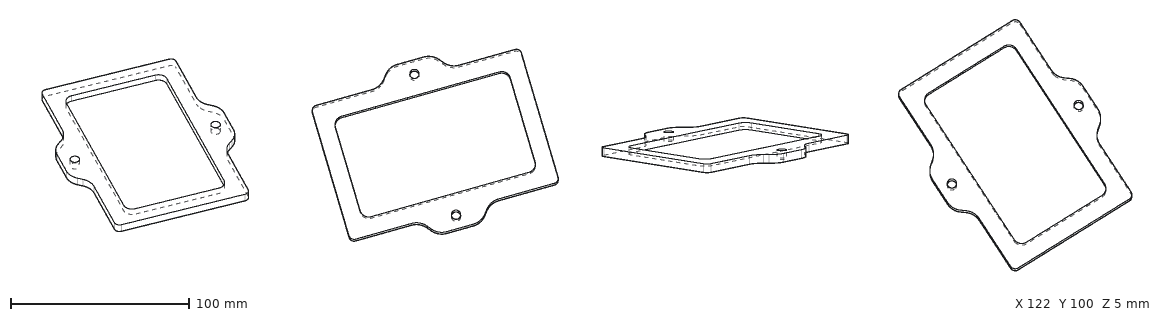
import cadquery as cq

length = 122.0
width = 80.0
thickness = 5.0
corner_radius = 3.0

overall_width = 100.0
tab_tip_length = 25.1
tab_root_length = 41.0
tab_radius = 10.0
hole_diameter = 5.2
hole_spacing = 84.2

rim = 10.0
pocket_length = length - 2 * rim
pocket_width = width - 2 * rim
pocket_radius = 5.0
pocket_depth = 4.0


def make_body():
    """Flat plate with a rounded trapezoidal tab on each long side."""
    half_length = length / 2
    half_width = width / 2
    half_overall = overall_width / 2
    half_root = tab_root_length / 2
    half_tip = tab_tip_length / 2
    upper_side = [
        (half_length, half_width),
        (half_root, half_width),
        (half_tip, half_overall),
        (-half_tip, half_overall),
        (-half_root, half_width),
        (-half_length, half_width),
    ]
    lower_side = [(-x, -y) for x, y in upper_side]
    body = cq.Workplane("XY").polyline(upper_side + lower_side).close().extrude(thickness)

    body = body.edges("|Z and (<X or >X)").fillet(corner_radius)
    tab_zone = cq.selectors.BoxSelector(
        (-half_root - tab_radius, -half_overall - tab_radius, 0),
        (half_root + tab_radius, half_overall + tab_radius, thickness),
    )
    return body.edges("|Z").edges(tab_zone).fillet(tab_radius)


def make_pocket():
    pocket = (
        cq.Workplane("XY")
        .workplane(offset=thickness - pocket_depth)
        .rect(pocket_length, pocket_width)
        .extrude(pocket_depth)
    )
    return pocket.edges("|Z").fillet(pocket_radius)


def make_tab_holes():
    return (
        cq.Workplane("XY")
        .pushPoints([(0, -hole_spacing / 2), (0, hole_spacing / 2)])
        .circle(hole_diameter / 2)
        .extrude(thickness)
    )


result = make_body().cut(make_pocket()).cut(make_tab_holes())